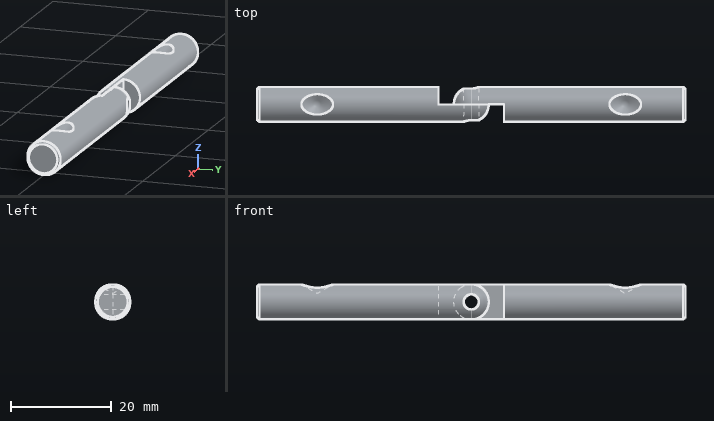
import cadquery as cq
import math

TOTAL_LENGTH = 85.0
ROD_DIAMETER = 7.0
ROD_RADIUS = ROD_DIAMETER / 2
ROD_LENGTH = TOTAL_LENGTH / 2
END_CHAMFER = 0.5

HINGE_HOLE_DIAMETER = 3.0
SHOULDER_DISTANCE = 6.5

SEAT_END_DISTANCE = 12.0
SEAT_RADIUS = 3.15
SEAT_CONE_ANGLE = 120.0
SEAT_DEPTH = SEAT_RADIUS / math.tan(math.radians(SEAT_CONE_ANGLE / 2))


def rod_blank():
    """Rod along -X with a chamfered outer end and a ball-shaped hinge end."""
    shaft = (
        cq.Workplane("YZ", origin=(-ROD_LENGTH, 0, 0))
        .circle(ROD_RADIUS)
        .extrude(ROD_LENGTH)
        .faces("<X")
        .chamfer(END_CHAMFER)
    )
    return shaft.union(cq.Workplane("XY").sphere(ROD_RADIUS))


def lap_cutter():
    """Box that removes the +Y half of the rod beyond the shoulder."""
    return cq.Workplane("XY", origin=(-SHOULDER_DISTANCE, 0, 0)).box(
        SHOULDER_DISTANCE + ROD_DIAMETER,
        ROD_DIAMETER,
        2 * ROD_DIAMETER,
        centered=(False, False, True),
    )


def hinge_hole_cutter():
    """Cylinder along the hinge axis."""
    return cq.Workplane("XZ").circle(HINGE_HOLE_DIAMETER / 2).extrude(ROD_DIAMETER, both=True)


def seat_cutter():
    """Cone that points down from the crown of the rod."""
    cone = cq.Solid.makeCone(
        SEAT_RADIUS,
        0,
        SEAT_DEPTH,
        pnt=cq.Vector(SEAT_END_DISTANCE - ROD_LENGTH, 0, ROD_RADIUS),
        dir=cq.Vector(0, 0, -1),
    )
    return cq.Workplane(obj=cone)


def make_hinge_rod():
    """One rod on the -X side, with its lap on the -Y side."""
    return rod_blank().cut(lap_cutter()).cut(hinge_hole_cutter()).cut(seat_cutter())


hinge_rods = [make_hinge_rod().rotate((0, 0, 0), (0, 0, 1), turn) for turn in (0, 180)]

result = cq.Compound.makeCompound([rod.val() for rod in hinge_rods])